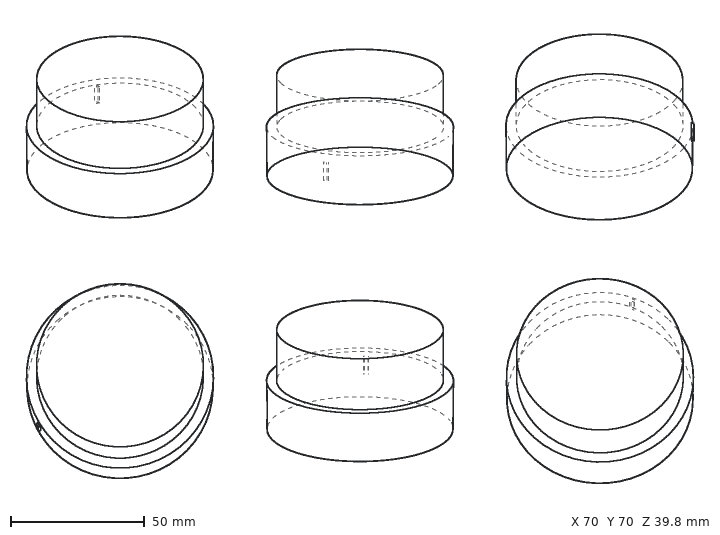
import cadquery as cq
import math

total_height = 39.75
base_height = 19.4
base_top_diameter = 70.02
base_bottom_diameter = 69.7
upper_diameter = 62.43

rib_angle = 140.9
rib_width = 1.35
rib_flank_angle = 18
rib_projection = 0.85
rib_embed = 2.0
rib_bottom = 9.05
rib_top = 16.1


def base_radius_at(z):
    """Radius of the tapered base wall at height z."""
    bottom_radius = base_bottom_diameter / 2
    top_radius = base_top_diameter / 2
    return bottom_radius + (top_radius - bottom_radius) * z / base_height


def make_body():
    """Tapered base with a straight cylinder on top, revolved about Z."""
    half_profile = (
        cq.Workplane("XZ")
        .moveTo(0, 0)
        .lineTo(base_bottom_diameter / 2, 0)
        .lineTo(base_top_diameter / 2, base_height)
        .lineTo(upper_diameter / 2, base_height)
        .lineTo(upper_diameter / 2, total_height)
        .lineTo(0, total_height)
        .close()
    )
    return half_profile.revolve(360, (0, 0, 0), (0, 1, 0))


def rib_section(z):
    """Corner points of the rib's horizontal section at height z, pointing along +X."""
    wall_radius = base_radius_at(z)
    inner_radius = wall_radius - rib_embed
    outer_radius = wall_radius + rib_projection
    flare = math.tan(math.radians(rib_flank_angle))
    outer_half_width = rib_width / 2
    inner_half_width = outer_half_width + (rib_projection + rib_embed) * flare
    return [
        (inner_radius, -inner_half_width),
        (outer_radius, -outer_half_width),
        (outer_radius, outer_half_width),
        (inner_radius, inner_half_width),
    ]


def make_index_rib():
    """Upright rib with flared flanks, its outer face following the taper of the base."""
    rib = (
        cq.Workplane("XY")
        .workplane(offset=rib_bottom)
        .polyline(rib_section(rib_bottom))
        .close()
        .workplane(offset=rib_top - rib_bottom)
        .polyline(rib_section(rib_top))
        .close()
        .loft(ruled=True)
    )
    return rib.rotate((0, 0, 0), (0, 0, 1), rib_angle)


result = make_body().union(make_index_rib())